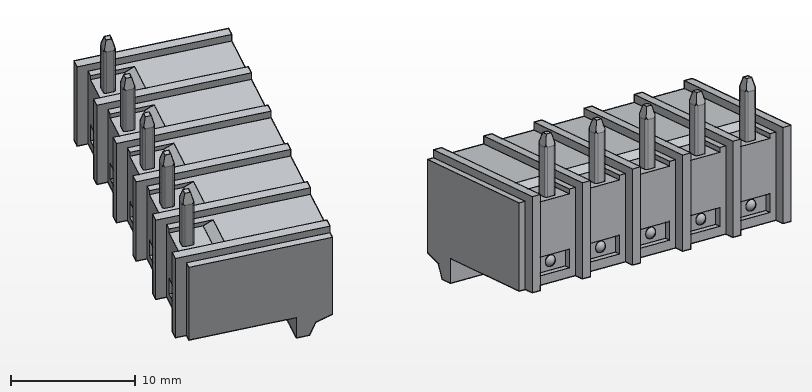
import cadquery as cq
import math

pole_count = 5
pitch = 5.07

housing_width = 27.4
housing_depth = 12.17
housing_bottom = 2.15
housing_top = 9.75
housing_front = -housing_depth

foot_depth = 3.07
foot_tip_start = 1.95
foot_bend_depth = 1.42
foot_bend_height = 1.2
foot_back_height = 1.7

rib_thickness = 0.82
rib_top_rise = 0.68
rib_front_rise = 0.93

recess_width = 3.05
recess_depth = 0.4
recess_floor_length = 2.88
recess_ramp_length = 0.85

pin_width = 1.01
pin_edge_radius = 0.2
pin_tip_width = 0.5
pin_tip_length = 1.05
pin_top = 14.7
pin_to_front = 1.0

window_bottom = 2.95
window_height = 1.62
window_depth = 0.55
contact_radius = 0.5
contact_height = 0.33

recess_floor = housing_top - recess_depth
window_back = housing_front + window_depth
pole_positions = [(i - (pole_count - 1) / 2) * pitch for i in range(pole_count)]
rib_positions = [(i - pole_count / 2) * pitch for i in range(pole_count + 1)]


def extrude_profile(points, x_center, width):
    """Extrude a (Y, Z) outline along X, centred on x_center."""
    plane = cq.Workplane("YZ", origin=(x_center, 0, 0))
    return plane.polyline(points).close().extrude(width / 2, both=True)


def make_housing():
    outline = [
        (0, housing_top),
        (housing_front, housing_top),
        (housing_front, housing_bottom),
        (-foot_depth, housing_bottom),
        (-foot_depth, 0),
        (-foot_tip_start, 0),
        (-foot_bend_depth, foot_bend_height),
        (0, foot_back_height),
    ]
    return extrude_profile(outline, 0, housing_width)


def make_rib(x):
    front = housing_front - rib_front_rise
    top = housing_top + rib_top_rise
    outline = [(0, housing_bottom), (0, top), (front, top), (front, housing_bottom)]
    return extrude_profile(outline, x, rib_thickness)


def make_recess(x):
    ramp_foot = housing_front + recess_floor_length
    outline = [
        (housing_front, recess_floor),
        (ramp_foot, recess_floor),
        (ramp_foot + recess_ramp_length, housing_top),
        (housing_front, housing_top),
    ]
    return extrude_profile(outline, x, recess_width)


def make_window(x):
    window_top = window_bottom + window_height
    outline = [
        (housing_front, window_bottom),
        (window_back, window_bottom),
        (window_back, window_top),
        (housing_front, window_top),
    ]
    return extrude_profile(outline, x, recess_width)


def make_contact_end(x):
    """Ball sunk into the back wall of the window so that only a shallow dome stands out."""
    ball_radius = (contact_radius**2 + contact_height**2) / (2 * contact_height)
    ball_y = window_back - contact_height + ball_radius
    ball_z = window_bottom + window_height / 2
    return cq.Workplane("XY").sphere(ball_radius).translate((x, ball_y, ball_z))


def make_pin(x):
    """Square pin with rounded edges and a pyramid tip, rooted in the housing."""
    y = housing_front + pin_to_front
    root = (housing_bottom + housing_top) / 2
    shaft_top = pin_top - pin_tip_length
    taper = math.degrees(math.atan((pin_width - pin_tip_width) / 2 / pin_tip_length))
    shaft = cq.Workplane("XY", origin=(x, y, root)).rect(pin_width, pin_width).extrude(shaft_top - root)
    tip = cq.Workplane("XY", origin=(x, y, shaft_top)).rect(pin_width, pin_width)
    tip = tip.extrude(pin_tip_length, taper=taper)
    rounded_bar = cq.Workplane("XY", origin=(x, y, root)).rect(pin_width, pin_width).extrude(pin_top - root)
    rounded_bar = rounded_bar.edges("|Z").fillet(pin_edge_radius)
    return shaft.union(tip).intersect(rounded_bar)


result = make_housing()
for x in rib_positions:
    result = result.union(make_rib(x))
for x in pole_positions:
    result = result.cut(make_recess(x)).cut(make_window(x))
    result = result.union(make_contact_end(x)).union(make_pin(x))